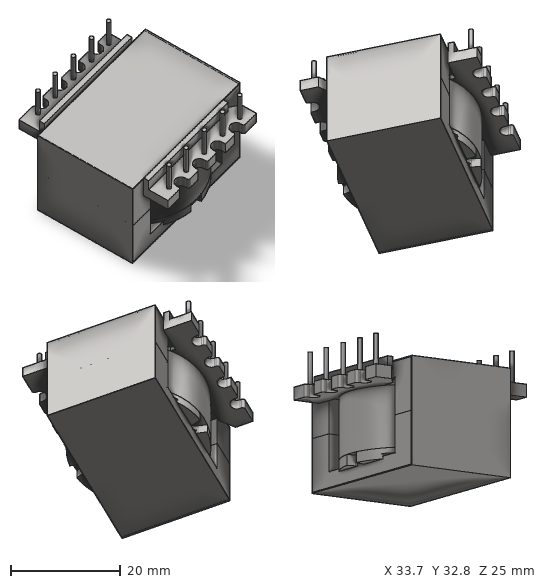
import cadquery as cq
import math


tape_width = 32.75
tape_top = 20.47
tape_side_thickness = 0.253
tape_cap_thickness = 0.2

core_depth = 21.8
core_width = tape_width - 2 * tape_side_thickness
core_bottom = tape_cap_thickness
core_top = tape_top - tape_cap_thickness
core_split = (core_bottom + core_top) / 2
core_floor_thickness = 2.97
core_opening_width = 21.6
core_window_radius = 13.73
core_post_radius = 6.7

winding_radius = 13.25
winding_bottom = 4.62
winding_top = 16.3

tube_wall = 1.0
tube_radius = core_post_radius + tube_wall
flange_thickness = 1.0
web_width = 16.65
foot_height = 1.0
foot_inner_left = 11.25
foot_inner_right = 11.13
wire_notch_mouth = 3.17
wire_notch_width = 2.23
wire_notch_taper_end = 11.55

plate_outer = 16.85
plate_inner = 11.25
plate_bottom = winding_top
plate_top = 18.72
left_plate_ends = (-14.1, 12.82)
right_plate_ends = (-13.42, 13.42)
plate_bevel_x = 2.12
plate_bevel_y = 2.75

edge_notch_width = 2.5
edge_notch_depth = 2.12
edge_notch_places = (-8.35, -2.73, 2.73, 8.35)
sharp_notch_place = 2.73
edge_round = 0.5

rail_thickness = 1.15
rail_top = 21.15
left_rail_ends = (-13.8, 12.82)
right_rail_ends = (-13.42, 10.65)

pin_diameter = 0.88
pin_top = 25.0
pin_x = 15.05
pin_places = (-10.73, -5.53, 0, 5.53, 10.73)


def block(x_ends, y_ends, z_ends):
    """Box given by its end coordinates along each axis."""
    return (
        cq.Workplane("XY")
        .box(x_ends[1] - x_ends[0], y_ends[1] - y_ends[0], z_ends[1] - z_ends[0], centered=False)
        .translate((x_ends[0], y_ends[0], z_ends[0]))
    )


def centred_block(depth, width, z_ends):
    """Box centred on the winding axis."""
    return block((-depth / 2, depth / 2), (-width / 2, width / 2), z_ends)


def disc(radius, z_ends):
    """Cylinder on the winding axis."""
    return cq.Workplane("XY").workplane(offset=z_ends[0]).circle(radius).extrude(z_ends[1] - z_ends[0])


def make_core_half():
    """Lower core half: floor, two outer legs hollowed to a round, and the centre post."""
    floor_top = core_bottom + core_floor_thickness
    window_heights = (floor_top, core_split)
    half = centred_block(core_depth, core_width, (core_bottom, core_split))
    half = half.cut(centred_block(core_depth, core_opening_width, window_heights))
    half = half.cut(disc(core_window_radius, window_heights))
    return half.union(disc(core_post_radius, window_heights))


def make_tape():
    """Closed band around the +Y, -Y, top and bottom faces of the core."""
    band = centred_block(core_depth, tape_width, (0, tape_top))
    return band.cut(centred_block(core_depth, core_width, (core_bottom, core_top)))


def make_winding():
    """Plain ring that fills the bobbin between its flanges."""
    heights = (winding_bottom, winding_top)
    return disc(winding_radius, heights).cut(disc(tube_radius, heights))


def make_spool():
    """Tube with its two flanges, the neck under the plates and the feet of the lower flange."""
    flange_bottom = winding_bottom - flange_thickness
    flange_top = winding_top + flange_thickness
    foot_heights = (flange_bottom - foot_height, flange_bottom)

    spool = disc(tube_radius, (flange_bottom, flange_top))
    spool = spool.union(disc(winding_radius, (flange_bottom, winding_bottom)))
    spool = spool.union(disc(winding_radius, (winding_top, flange_top)))
    spool = spool.union(centred_block(2 * plate_inner, web_width, (winding_top, flange_top)))

    between_feet = block(
        (-foot_inner_left, foot_inner_right), (-winding_radius, winding_radius), foot_heights
    )
    feet = disc(winding_radius, foot_heights).cut(between_feet)
    spool = spool.union(feet)
    for side in (-1, 1):
        spool = spool.cut(make_wire_notch(side, foot_heights[0]))
    return spool


def make_wire_notch(side, bottom):
    """Cutter for the tapered, round-ended notch that splits one foot and the flange above it."""
    mouth_x = side * winding_radius
    taper_x = side * wire_notch_taper_end
    end_x = side * (wire_notch_taper_end - wire_notch_width / 2)
    return (
        cq.Workplane("XY")
        .workplane(offset=bottom)
        .moveTo(mouth_x, -wire_notch_mouth / 2)
        .lineTo(taper_x, -wire_notch_width / 2)
        .threePointArc((end_x, 0), (taper_x, wire_notch_width / 2))
        .lineTo(mouth_x, wire_notch_mouth / 2)
        .close()
        .extrude(winding_bottom - bottom)
    )


def make_edge_notch(place):
    """Cutter for one round-ended notch, with rounded corners at the plate edge."""
    half_width = edge_notch_width / 2
    edge_x = -plate_outer
    round_end_x = edge_x + edge_notch_depth - half_width
    low = place - half_width
    high = place + half_width
    arc_inset = edge_round * (1 - math.sqrt(0.5))

    outline = (
        cq.Workplane("XY")
        .workplane(offset=plate_bottom)
        .moveTo(edge_x, low - edge_round)
        .threePointArc((edge_x + arc_inset, low - arc_inset), (edge_x + edge_round, low))
        .lineTo(round_end_x, low)
        .threePointArc((edge_x + edge_notch_depth, place), (round_end_x, high))
    )
    if place == sharp_notch_place:
        outline = outline.lineTo(edge_x, high)
    else:
        outline = outline.lineTo(edge_x + edge_round, high).threePointArc(
            (edge_x + arc_inset, high + arc_inset), (edge_x, high + edge_round)
        )
    return outline.close().extrude(plate_top - plate_bottom)


def make_terminal_strip(plate_ends, rail_ends):
    """Terminal plate on the -X side with its notches, rail and pins."""
    strip = block((-plate_outer, -plate_inner), plate_ends, (plate_bottom, plate_top))
    for place in edge_notch_places:
        strip = strip.cut(make_edge_notch(place))
    rail = block((-plate_inner - rail_thickness, -plate_inner), rail_ends, (plate_top, rail_top))
    strip = strip.union(rail)
    pins = (
        cq.Workplane("XY")
        .workplane(offset=plate_top)
        .pushPoints([(-pin_x, place) for place in pin_places])
        .circle(pin_diameter / 2)
        .extrude(pin_top - plate_top)
    )
    return strip.union(pins)


def make_plate_bevel():
    """Cutter for the slanted inner corner at the +Y end of the right plate."""
    corner_y = right_plate_ends[1]
    return (
        cq.Workplane("XY")
        .workplane(offset=plate_bottom)
        .moveTo(plate_inner, corner_y)
        .lineTo(plate_inner + plate_bevel_x, corner_y)
        .lineTo(plate_inner, corner_y - plate_bevel_y)
        .close()
        .extrude(plate_top - plate_bottom)
    )


def make_bobbin():
    """Spool with a terminal strip on each side, moulded as one piece with its pins."""
    left_strip = make_terminal_strip(left_plate_ends, left_rail_ends)
    right_strip = make_terminal_strip(right_plate_ends, right_rail_ends).mirror("YZ")
    right_strip = right_strip.cut(make_plate_bevel())
    bore = disc(core_post_radius, (0, pin_top))
    return make_spool().union(left_strip).union(right_strip).cut(bore)


lower_core = make_core_half()
upper_core = lower_core.mirror("XY", (0, 0, core_split))
tape = make_tape()
winding = make_winding()
bobbin = make_bobbin()

result = cq.Compound.makeCompound(
    [lower_core.val(), upper_core.val(), tape.val(), winding.val(), bobbin.val()]
)